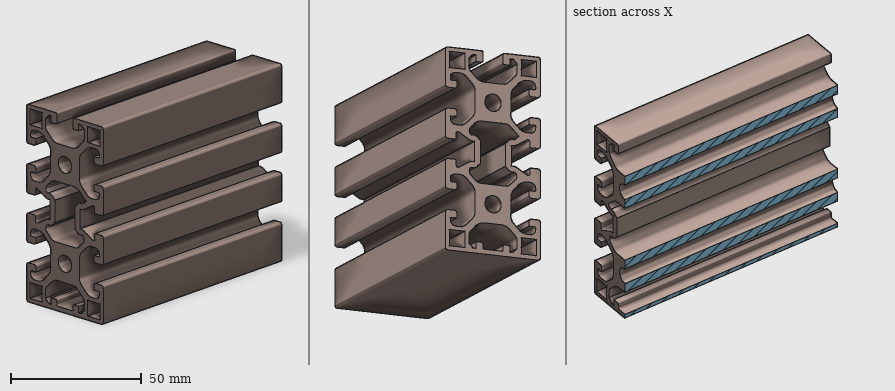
import cadquery as cq

width = 40.0
height = 80.0
length = 100.0
half_width = width / 2
half_height = height / 2
core_height = half_height / 2
edge_round = 1.0

core_hole_diameter = 6.8
core_half_width = 7.5
core_half_height = 7.7

hollow_size = 6.4
hollow_offset = 15.1

slot_half_opening = 4.1
lip_depth = 4.8
lip_inner_offset = 7.0
lip_round = 1.0
lip_root_round = 0.6
undercut_half_width = 18.0
undercut_height = 10.3
undercut_round = 2.4
slot_floor_half = 5.4
slot_bend_round = 4.6

end_wall = 1.9
rib_inner = 4.2
rib_outer = 7.2
rib_height = 4.5
rib_round = 0.6
rib_base_round = 0.6
mouth_round = 0.7
channel_half_width = 10.2
channel_corner = 1.8
channel_floor_half = 5.6
channel_floor_round = 5.0
channel_side_round = 3.0
channel_floor = core_height + core_half_height
channel_ceiling = half_height - end_wall

web_inner = 5.2
web_outer = 7.8
chamber_roof = core_height - core_half_height
chamber_roof_half = 6.4
chamber_tip = (10.9, 7.9)
chamber_ledge = (7.2, 6.4)
chamber_ledge_outer = 9.1
web_bend_height = 4.5
chamber_tip_round = 1.8
chamber_roof_round = 3.8
chamber_ledge_round = 2.5
groove_half = 4.0
groove_outer = 15.5
groove_peak = 7.6
groove_shoulder = 9.3
groove_peak_round = 0.8
groove_lip_round = 0.4
groove_shoulder_round = 4.0
edge_search = 0.01
overrun = 1.0


def prism(outline):
    """Extrude a closed outline in the XZ plane over the full length."""
    return outline.extrude(length / 2, both=True)


def box_bar(x, z, size_x, size_z):
    """Rectangular bar along Y, centred at (x, z)."""
    return prism(cq.Workplane("XZ").center(x, z).rect(size_x, size_z))


def flipped(points):
    """The same points mirrored in Z, in reverse order."""
    return [(x, -z) for x, z in reversed(points)]


def both_sides(cutter):
    """The cutter together with its mirror image in X."""
    return cutter.union(cutter.mirror("YZ"))


def round_edge(solid, x, z, radius):
    """Round the lengthwise edge that passes through (x, z)."""
    box = cq.selectors.BoxSelector(
        (x - edge_search, -edge_search, z - edge_search),
        (x + edge_search, edge_search, z + edge_search),
    )
    return solid.edges("|Y").edges(box).fillet(radius)


def round_both(solid, rounds):
    """Round each (x, z, radius) edge and its mirror image in Z."""
    for x, z, radius in rounds:
        solid = round_edge(solid, x, z, radius)
        solid = round_edge(solid, x, -z, radius)
    return solid


def side_slot():
    """T-slot on the +X side, centred on Z = 0, with rounded undercuts."""
    lip_face = half_width - lip_depth
    arm_end = core_half_width + undercut_height - slot_floor_half
    half = [
        (half_width + overrun, slot_half_opening),
        (lip_face, slot_half_opening),
        (lip_face, lip_inner_offset),
        (undercut_half_width, lip_inner_offset),
        (undercut_half_width, undercut_height),
        (arm_end, undercut_height),
        (core_half_width, slot_floor_half),
    ]
    slot = prism(cq.Workplane("XZ").polyline(half + flipped(half)).close())
    rounds = [
        (lip_face, slot_half_opening, lip_round),
        (undercut_half_width, lip_inner_offset, lip_root_round),
        (undercut_half_width, undercut_height, undercut_round),
        (arm_end, undercut_height, slot_bend_round),
        (core_half_width, slot_floor_half, slot_bend_round),
    ]
    return round_both(slot, rounds)


def end_channel():
    """Channel above the upper core, closed by the end wall and with two ribs."""
    bend = channel_floor + channel_half_width - channel_floor_half
    channel = prism(
        cq.Workplane("XZ")
        .moveTo(-channel_floor_half, channel_floor)
        .lineTo(channel_floor_half, channel_floor)
        .lineTo(channel_half_width, bend)
        .lineTo(channel_half_width, channel_ceiling - channel_corner)
        .lineTo(channel_half_width - channel_corner, channel_ceiling)
        .lineTo(channel_corner - channel_half_width, channel_ceiling)
        .lineTo(-channel_half_width, channel_ceiling - channel_corner)
        .lineTo(-channel_half_width, bend)
        .close()
    )
    for side in (1, -1):
        channel = round_edge(channel, side * channel_floor_half, channel_floor, channel_floor_round)
        channel = round_edge(channel, side * channel_half_width, bend, channel_side_round)
    rib_width = rib_outer - rib_inner
    rib_x = (rib_inner + rib_outer) / 2
    rib = box_bar(rib_x, half_height - rib_height / 2, rib_width, rib_height)
    rib = round_edge(rib, rib_inner, half_height - rib_height, rib_round)
    return channel.cut(both_sides(rib))


def central_chamber():
    """Closed chamber between the two cores, pinched by the webs."""
    half = [
        (chamber_roof_half, chamber_roof),
        chamber_tip,
        (chamber_ledge_outer, chamber_ledge[1]),
        chamber_ledge,
        (web_inner, web_bend_height),
    ]
    right = half + flipped(half)
    left = [(-x, z) for x, z in reversed(right)]
    chamber = prism(cq.Workplane("XZ").polyline(right + left).close())
    tip_x, tip_z = chamber_tip
    for x, z in ((-tip_x, tip_z), (-tip_x, -tip_z), (tip_x, -tip_z)):
        chamber = round_edge(chamber, x, z, chamber_tip_round)
    ledge_x, ledge_z = chamber_ledge
    rounds = []
    for side in (1, -1):
        rounds.append((side * chamber_roof_half, chamber_roof, chamber_roof_round))
        rounds.append((side * ledge_x, ledge_z, chamber_ledge_round))
    return round_both(chamber, rounds)


def side_groove():
    """Flared groove in the middle of the +X side, outside the web."""
    half = [
        (half_width + overrun, groove_half),
        (groove_outer, groove_half),
        (groove_outer, groove_peak),
        (groove_shoulder, groove_half),
        (web_outer, groove_half),
    ]
    groove = prism(cq.Workplane("XZ").polyline(half + flipped(half)).close())
    rounds = [
        (groove_outer, groove_half, groove_lip_round),
        (groove_outer, groove_peak, groove_peak_round),
        (groove_shoulder, groove_half, groove_shoulder_round),
    ]
    return round_both(groove, rounds)


def round_mouth(solid, half_opening, centre):
    """Round the outer edges where a side opening meets both side faces."""
    for side in (1, -1):
        for end in (1, -1):
            solid = round_edge(solid, side * half_width, centre + end * half_opening, edge_round)
    return solid


result = box_bar(0, 0, width, height).edges("|Y").fillet(edge_round)

channel = end_channel()
top_opening = box_bar(0, half_height, 2 * rib_inner, 2 * rib_height)
result = result.cut(channel).cut(channel.mirror("XY")).cut(top_opening)
for x in (rib_inner, -rib_inner):
    result = round_edge(result, x, half_height, mouth_round)
    result = round_edge(result, x, -channel_ceiling, rib_base_round)
result = result.cut(central_chamber())
result = result.cut(both_sides(side_groove()))
result = round_mouth(result, groove_half, 0)

side_slots = both_sides(side_slot())
core_hole = prism(cq.Workplane("XZ").circle(core_hole_diameter / 2))
for core_z in (core_height, -core_height):
    result = result.cut(side_slots.translate((0, 0, core_z)))
    result = result.cut(core_hole.translate((0, 0, core_z)))
    result = round_mouth(result, slot_half_opening, core_z)

hollow_z = core_height + hollow_offset
for x in (hollow_offset, -hollow_offset):
    for z in (hollow_z, -hollow_z):
        result = result.cut(box_bar(x, z, hollow_size, hollow_size))